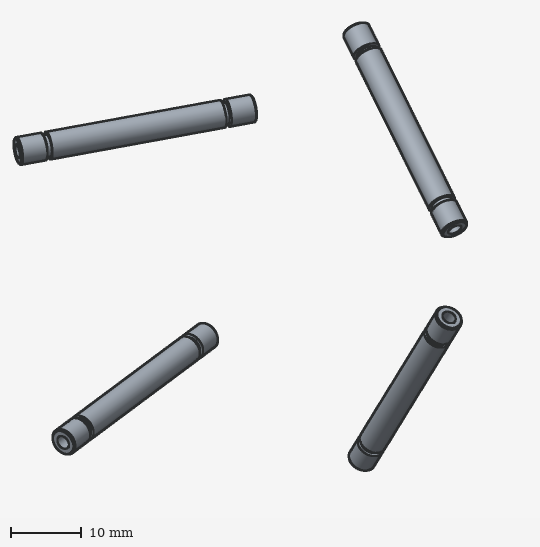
import cadquery as cq
import math

LENGTH = 35.0
PIN_RADIUS = 4.0 / 2
BORE_RADIUS = 2.0 / 2
GROOVE_RADIUS = 3.2 / 2
HEAD_LENGTH = 3.8
MIDDLE_LENGTH = 25.82
GROOVE_WALL_ANGLE = 25.0
END_CHAMFER = 0.2


def make_tube():
    """Cylinder with both end rims chamfered and a bore right through."""
    return (
        cq.Workplane("XZ")
        .circle(PIN_RADIUS)
        .extrude(LENGTH / 2, both=True)
        .faces("<Y or >Y")
        .chamfer(END_CHAMFER)
        .faces("<Y")
        .workplane()
        .hole(2 * BORE_RADIUS)
    )


def make_groove_cutter(side):
    """Ring that cuts the groove near one end; side is +1 for +Y, -1 for -Y.

    The inner wall is square to the axis, the outer wall slopes towards the end.
    """
    inner_y = MIDDLE_LENGTH / 2
    rim_y = LENGTH / 2 - HEAD_LENGTH
    depth = PIN_RADIUS - GROOVE_RADIUS
    corner_y = rim_y - depth * math.tan(math.radians(GROOVE_WALL_ANGLE))
    profile = [
        (PIN_RADIUS, side * inner_y),
        (GROOVE_RADIUS, side * inner_y),
        (GROOVE_RADIUS, side * corner_y),
        (PIN_RADIUS, side * rim_y),
    ]
    return cq.Workplane("XY").polyline(profile).close().revolve(360, (0, 0, 0), (0, 1, 0))


result = make_tube()
for end_side in (1, -1):
    result = result.cut(make_groove_cutter(end_side))